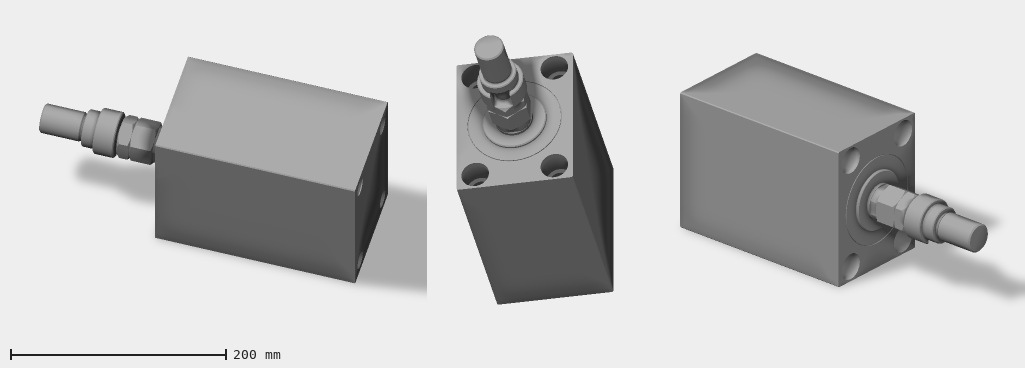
import cadquery as cq
import math

neck_start = 39.5
collar_start = 41.5
slot_start = 50.8
ring_start = 54.0
ring_end = 73.7
hex_start = 76.0
nut_start = 88.3
flats_start = 110.5
flats_end = 118.5
flange_start = 121.5
block_start = 124.5
block_end = 317.5
rod_end = 190.5

block_width = 110.0
block_height = 140.0
edge_chamfer = 1.0
flange_radius = 30.2
flange_chamfer = 1.0
groove_outer_radius = 44.8
groove_width = 1.0
groove_depth = 1.0
bolt_spacing_y = 75.0
bolt_spacing_z = 110.0
bolt_hole_diameter = 17.8
counterbore_diameter = 26.0
counterbore_depth = 25.5

rod_radius = 17.8
flatted_radius = 17.5
flats_across = 32.0

hex_across_flats = 36.0
hex_face_radius = 17.8
plug_chamfer_angle = 45
nut_chamfer_angle = 30
stud_radius = 9.2
stud_end = 133.5
stud_root_chamfer = 1.0
stud_root_angle = 45

shank_radius = 14.0
neck_radius = 13.0
collar_radius = 17.8
ring_radius = 22.0
coupling_chamfer = 1.0
shank_chamfer = 1.3


def cylinder(start, end, radius):
    """Cylinder on the X axis between two stations."""
    return cq.Workplane("YZ").workplane(offset=start).circle(radius).extrude(end - start)


def hexagon(start, end, start_angle, end_angle):
    """Hexagonal prism with flats facing +Y and -Y, both ends turned to a cone."""
    corner_radius = hex_across_flats / math.sqrt(3)
    rise = corner_radius - hex_face_radius
    start_run = rise * math.tan(math.radians(start_angle))
    end_run = rise * math.tan(math.radians(end_angle))
    prism = (
        cq.Workplane("YZ")
        .workplane(offset=start)
        .polygon(6, 2 * corner_radius)
        .extrude(end - start)
        .rotate((0, 0, 0), (1, 0, 0), 90)
    )
    turned = (
        cq.Workplane("XY")
        .moveTo(start, 0)
        .lineTo(start, hex_face_radius)
        .lineTo(start + start_run, corner_radius)
        .lineTo(end - end_run, corner_radius)
        .lineTo(end, hex_face_radius)
        .lineTo(end, 0)
        .close()
        .revolve(360, (0, 0, 0), (1, 0, 0))
    )
    return prism.intersect(turned)


def make_block():
    """Cylinder block with its rod flange, face groove, bolt holes and rod bore."""
    block = (
        cq.Workplane("XY")
        .box(block_end - block_start, block_width, block_height)
        .translate(((block_start + block_end) / 2, 0, 0))
        .edges("|X")
        .chamfer(edge_chamfer)
    )
    block = (
        block.faces("<X")
        .workplane(origin=(block_start, 0, 0))
        .rect(bolt_spacing_y, bolt_spacing_z, forConstruction=True)
        .vertices()
        .cboreHole(bolt_hole_diameter, counterbore_diameter, counterbore_depth)
    )
    groove_end = block_start + groove_depth
    groove = cylinder(block_start, groove_end, groove_outer_radius).cut(
        cylinder(block_start, groove_end, groove_outer_radius - groove_width)
    )
    flange = cylinder(flange_start, block_start, flange_radius).faces("<X").chamfer(flange_chamfer)
    rod_bore = cylinder(flange_start, rod_end, rod_radius)
    return block.cut(groove).union(flange).cut(rod_bore)


def make_rod():
    """Piston rod with four wrench flats and a bore for the stud of the plug."""
    flatted = cylinder(flats_start, flats_end, flatted_radius).intersect(
        cq.Workplane("XY")
        .box(flats_end - flats_start, flats_across, flats_across)
        .translate(((flats_start + flats_end) / 2, 0, 0))
    )
    shaft = cylinder(flats_end, rod_end, rod_radius)
    return flatted.union(shaft).cut(cylinder(flats_start, stud_end, stud_radius))


def make_nut():
    """Hexagonal lock nut between the plug and the piston rod."""
    nut = hexagon(nut_start, flats_start, nut_chamfer_angle, nut_chamfer_angle)
    return nut.cut(cylinder(nut_start, flats_start, stud_radius))


def make_plug():
    """Coupling plug: a hexagon with a conical root, on a stud from the coupling slot into the rod."""
    head = hexagon(hex_start, nut_start, plug_chamfer_angle, nut_chamfer_angle)
    root = (
        cq.Workplane("YZ")
        .workplane(offset=hex_start - stud_root_chamfer)
        .circle(stud_radius)
        .extrude(stud_root_chamfer, taper=-stud_root_angle)
    )
    return head.union(root).union(cylinder(slot_start, stud_end, stud_radius))


def make_coupling():
    """Turned coupling with a round-ended slot, open downwards, that takes the plug."""
    shank = cylinder(0, neck_start, shank_radius).faces("<X or >X").chamfer(shank_chamfer)
    neck = cylinder(neck_start, collar_start, neck_radius)
    collar = cylinder(collar_start, ring_start, collar_radius).faces("<X").chamfer(coupling_chamfer)
    ring = cylinder(ring_start, ring_end, ring_radius).faces("<X or >X").chamfer(coupling_chamfer)
    slot_length = ring_end - slot_start
    slot_walls = (
        cq.Workplane("XY")
        .box(slot_length, 2 * stud_radius, ring_radius)
        .translate((slot_start + slot_length / 2, 0, -ring_radius / 2))
    )
    slot = slot_walls.union(cylinder(slot_start, ring_end, stud_radius))
    return shank.union(neck).union(collar).union(ring).cut(slot)


block = make_block()
rod = make_rod()
nut = make_nut()
plug = make_plug()
coupling = make_coupling()

result = cq.Compound.makeCompound([block.val(), rod.val(), nut.val(), plug.val(), coupling.val()])